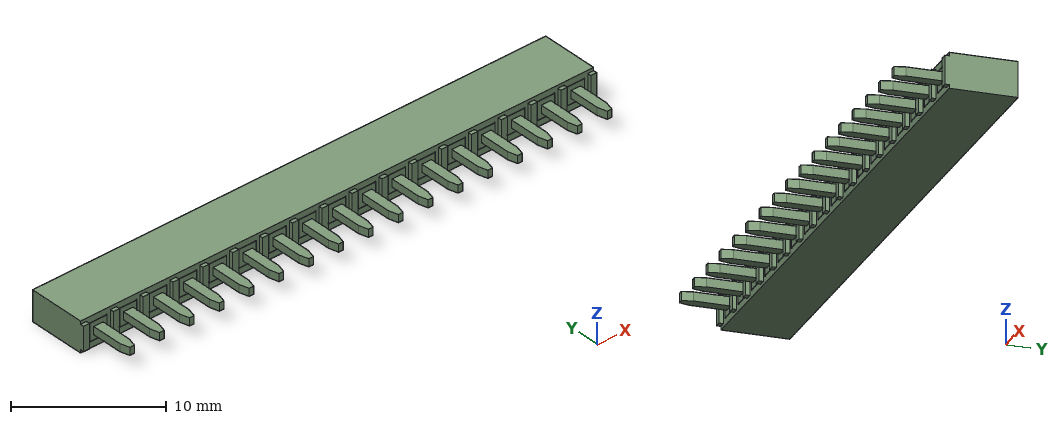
import cadquery as cq

PIN_COUNT = 17
PITCH = 2.54
END_MARGIN = 1.52

LENGTH = (PIN_COUNT - 1) * PITCH + 2 * END_MARGIN
DEPTH = 8.0
HEIGHT = 2.5

RIB_WIDTH = 0.52
RIB_HEIGHT = 2.0
RIB_PROJECTION = 0.3

POCKET_SIZE = 1.5
POCKET_DEPTH = 0.3
BASE_CLEARANCE = 0.03
BASE_SIZE = POCKET_SIZE - 2 * BASE_CLEARANCE

PIN_WIDTH = 0.8
PIN_THICKNESS = 0.64
PIN_TIP_WIDTH = 0.4
PIN_TAPER_LENGTH = 0.75
PIN_LENGTH = 3.0

BACK_Y = DEPTH / 2
TIP_Y = -DEPTH / 2
RIB_FACE_Y = TIP_Y + PIN_LENGTH
PIN_FACE_Y = RIB_FACE_Y + RIB_PROJECTION
POCKET_FLOOR_Y = PIN_FACE_Y + POCKET_DEPTH

FIRST_PIN_X = -(PIN_COUNT - 1) * PITCH / 2
PIN_POSITIONS = [FIRST_PIN_X + i * PITCH for i in range(PIN_COUNT)]
RIB_POSITIONS = [FIRST_PIN_X + (i - 0.5) * PITCH for i in range(PIN_COUNT + 1)]


def block(x_start, x_end, y_start, y_end, height):
    """Box between two X and two Y stations, centred on Z = 0."""
    size_x = x_end - x_start
    size_y = y_end - y_start
    centre = ((x_start + x_end) / 2, (y_start + y_end) / 2, 0)
    return cq.Workplane("XY").box(size_x, size_y, height).translate(centre)


def make_housing():
    return block(-LENGTH / 2, LENGTH / 2, PIN_FACE_Y, BACK_Y, HEIGHT)


def make_rib(x):
    """Rib midway between pins; the end ribs stop flush with the housing."""
    x_start = max(x - RIB_WIDTH / 2, -LENGTH / 2)
    x_end = min(x + RIB_WIDTH / 2, LENGTH / 2)
    return block(x_start, x_end, RIB_FACE_Y, PIN_FACE_Y, RIB_HEIGHT)


def make_square_block(x, size):
    """Square-section block spanning the depth of a pocket."""
    return block(x - size / 2, x + size / 2, PIN_FACE_Y, POCKET_FLOOR_Y, size)


def make_pin(x):
    """Square base with a flat pin in front of it, narrowing in X toward its tip."""
    half_width = PIN_WIDTH / 2
    half_tip = PIN_TIP_WIDTH / 2
    taper_y = TIP_Y + PIN_TAPER_LENGTH
    outline = [
        (x - half_width, POCKET_FLOOR_Y),
        (x - half_width, taper_y),
        (x - half_tip, TIP_Y),
        (x + half_tip, TIP_Y),
        (x + half_width, taper_y),
        (x + half_width, POCKET_FLOOR_Y),
    ]
    blade = cq.Workplane("XY").polyline(outline).close().extrude(PIN_THICKNESS / 2, both=True)
    return make_square_block(x, BASE_SIZE).union(blade)


result = make_housing()
for pin_x in PIN_POSITIONS:
    result = result.cut(make_square_block(pin_x, POCKET_SIZE)).union(make_pin(pin_x))
for rib_x in RIB_POSITIONS:
    result = result.union(make_rib(rib_x))